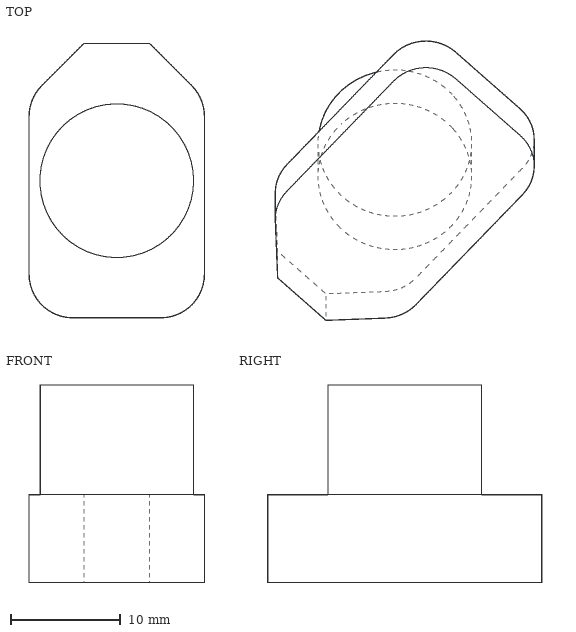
import cadquery as cq

base_width = 16.0
base_length = 25.0
base_height = 8.0
corner_radius = 4.0
chamfer = 5.0

post_diameter = 14.0
post_height = 10.0


def make_base():
    """Block with chamfered +Y corners; every edge along the long sides is rounded."""
    half_width = base_width / 2
    half_length = base_length / 2
    outline = [
        (-half_width, -half_length),
        (half_width, -half_length),
        (half_width, half_length - chamfer),
        (half_width - chamfer, half_length),
        (chamfer - half_width, half_length),
        (-half_width, half_length - chamfer),
    ]
    block = cq.Workplane("XY").polyline(outline).close().extrude(base_height)
    side_edges = block.faces("<X or >X").edges("|Z")
    return side_edges.fillet(corner_radius)


def make_post():
    """Cylinder rising from the top of the base."""
    return cq.Workplane("XY").workplane(offset=base_height).circle(post_diameter / 2).extrude(post_height)


result = make_base().union(make_post())